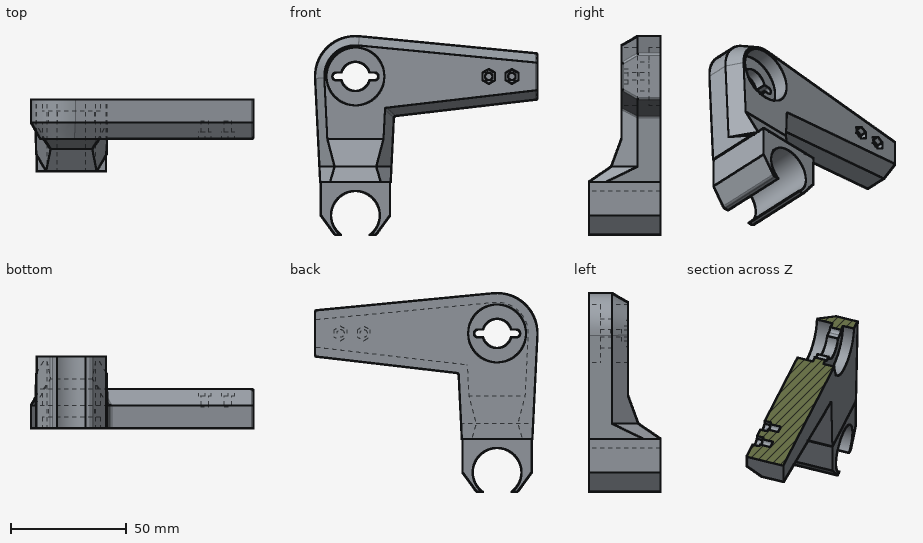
import cadquery as cq
import math

straight_depth = 10.0
draft_depth = 7.0
plate_depth = straight_depth + draft_depth
draft_angle = 30
draft_slope = math.tan(math.radians(draft_angle))
hub_radius = 17.5
arm_end_x = 78.6
arm_end_half_height = 10.0
elbow_z = -17.2
elbow_fillet = 1.0
tip_fillet = 1.0

front_recess_diameter = 25.0
front_recess_depth = 7.0
back_recess_diameter = 25.0
back_recess_depth = 5.0
shaft_hole_diameter = 12.5
slot_width = 3.3
slot_length = 19.8

nut_xs = (57.6, 67.6)
nut_flats = 5.5
nut_depth = 3.0
screw_diameter = 3.3
screw_depth = 7.7

clamp_width = 30.0
clamp_depth = 31.0
clamp_top_z = -45.5
clamp_bottom_z = -68.4
clamp_bore_z = -60.0
clamp_bore_diameter = 21.0
jaw_half_width = 8.8
jaw_fillet = 1.4

leg_foot_half_width = 15.3
ramp_top_z = -26.9
ramp_foot_z = -38.9
ramp_foot_depth = 21.4
gusset_shoulder_depth = 23.5

drafted_depth = ramp_foot_depth - straight_depth
drafted_inset = drafted_depth * draft_slope

trim_overrun = 19.2


def front_plane(depth):
    """Workplane facing the front, at the given depth in front of the back face."""
    return cq.Workplane("XZ", origin=(0, -depth, 0))


def hub_tangent(x, z, turn):
    """Where the line from (x, z) touches the hub; turn is +1 or -1 for the side."""
    angle = math.atan2(z, x) + turn * math.acos(hub_radius / math.hypot(x, z))
    return hub_radius * math.cos(angle), hub_radius * math.sin(angle)


leg_tangent = hub_tangent(-leg_foot_half_width, clamp_top_z, -1)
leg_slope = (-leg_tangent[0] - leg_foot_half_width) / (leg_tangent[1] - clamp_top_z)


def leg_half_width(z):
    """Half width of the tapered leg at height z."""
    return leg_foot_half_width + leg_slope * (z - clamp_top_z)


def point_beyond(start, end, overrun):
    """Point on the line from start through end, the given length past end."""
    length = math.hypot(end[0] - start[0], end[1] - start[1])
    scale = 1 + overrun / length
    return start[0] + scale * (end[0] - start[0]), start[1] + scale * (end[1] - start[1])


def oversize_outline():
    """Lever outline with the arm and the leg drawn longer than they end up."""
    arm_top = (arm_end_x, arm_end_half_height)
    arm_bottom = (arm_end_x, -arm_end_half_height)
    leg_left = (-leg_foot_half_width, clamp_top_z)
    leg_right = (leg_foot_half_width, clamp_top_z)
    elbow = (leg_half_width(elbow_z), elbow_z)
    top_tangent = hub_tangent(*arm_top, 1)
    arc_middle = (-hub_radius * math.sqrt(0.5), hub_radius * math.sqrt(0.5))
    return (
        front_plane(0).moveTo(*top_tangent)
        .threePointArc(arc_middle, leg_tangent)
        .lineTo(*point_beyond(leg_tangent, leg_left, trim_overrun))
        .lineTo(*point_beyond(elbow, leg_right, trim_overrun))
        .lineTo(*elbow)
        .lineTo(*point_beyond(elbow, arm_bottom, trim_overrun))
        .lineTo(*point_beyond(top_tangent, arm_top, trim_overrun))
        .close()
    )


def beveled_blank():
    """Straight-sided back layer with a drafted front layer on it."""
    outline = oversize_outline()
    base = outline.wires().val().translate(cq.Vector(0, -straight_depth, 0))
    front = base.offset2D(-drafted_inset, "intersection")[0]
    front = front.translate(cq.Vector(0, -drafted_depth, 0))
    drafted = cq.Solid.makeLoft([base, front], True)
    return outline.extrude(straight_depth).union(cq.Workplane(drafted))


def lever_envelope():
    """Space the lever fills: flat front, ramp on the leg, and trimmed arm and leg ends."""
    left_x = -2 * hub_radius
    top_z = 2 * hub_radius
    return (
        cq.Workplane("YZ", origin=(left_x, 0, 0))
        .moveTo(0, top_z)
        .lineTo(-plate_depth, top_z)
        .lineTo(-plate_depth, ramp_top_z)
        .lineTo(-ramp_foot_depth, ramp_foot_z)
        .lineTo(0, ramp_foot_z)
        .close()
        .extrude(arm_end_x - left_x)
    )


def gusset_section(z, half_width, shoulder_depth, front_depth):
    """Level section: straight sides to the shoulders, then drafted sides to the front."""
    front_half_width = half_width - (front_depth - shoulder_depth) * draft_slope
    return cq.Wire.makePolygon([
        cq.Vector(-half_width, 0, z),
        cq.Vector(-half_width, -shoulder_depth, z),
        cq.Vector(-front_half_width, -front_depth, z),
        cq.Vector(front_half_width, -front_depth, z),
        cq.Vector(half_width, -shoulder_depth, z),
        cq.Vector(half_width, 0, z),
    ], close=True)


def gusset():
    """Foot of the leg, which swells forward to the full depth of the clamp."""
    top = gusset_section(ramp_foot_z, leg_half_width(ramp_foot_z), straight_depth, ramp_foot_depth)
    foot = gusset_section(clamp_top_z, leg_foot_half_width, gusset_shoulder_depth, clamp_depth)
    return cq.Workplane(cq.Solid.makeLoft([top, foot], True))


def shaft_seat():
    """Slotted shaft hole with a round recess on the front and another on the back."""
    front_floor = plate_depth - front_recess_depth
    front_recess = front_plane(front_floor).circle(front_recess_diameter / 2).extrude(front_recess_depth)
    back_recess = front_plane(0).circle(back_recess_diameter / 2).extrude(back_recess_depth)
    shaft_hole = front_plane(0).circle(shaft_hole_diameter / 2).extrude(plate_depth)
    slot = front_plane(0).slot2D(slot_length, slot_width).extrude(plate_depth)
    return front_recess.union(back_recess).union(shaft_hole).union(slot)


def nut_pocket(x):
    """Hexagonal pocket with a blind screw hole in its floor, at distance x along the arm."""
    nut_corners = nut_flats / math.cos(math.radians(30))
    nut = (
        front_plane(plate_depth - nut_depth).center(x, 0)
        .transformed(rotate=(0, 0, 90)).polygon(6, nut_corners).extrude(nut_depth)
    )
    screw = (
        front_plane(plate_depth - screw_depth).center(x, 0)
        .circle(screw_diameter / 2).extrude(screw_depth)
    )
    return nut.union(screw)


def make_lever():
    """L-shaped lever with a hub, a tapering arm and a leg that carries the clamp."""
    blank = beveled_blank()
    elbow_x = leg_half_width(elbow_z)
    margin = 1
    elbow_edges = cq.selectors.BoxSelector(
        (elbow_x - drafted_inset - margin, -ramp_foot_depth, elbow_z - margin),
        (elbow_x + margin, 0, elbow_z + drafted_inset + margin),
    )
    blank = blank.edges(elbow_edges).fillet(elbow_fillet)
    lever = blank.intersect(lever_envelope())
    lever = lever.faces(">X").edges("not >Y").fillet(tip_fillet)
    lever = lever.union(gusset()).cut(shaft_seat())
    for x in nut_xs:
        lever = lever.cut(nut_pocket(x))
    return lever


def make_clamp():
    """Open snap-on clamp for a round bar along Y."""
    half_width = clamp_width / 2
    clamp = (
        front_plane(0)
        .moveTo(-half_width, clamp_top_z)
        .lineTo(half_width, clamp_top_z)
        .lineTo(half_width, clamp_bore_z)
        .lineTo(jaw_half_width, clamp_bottom_z)
        .lineTo(-jaw_half_width, clamp_bottom_z)
        .lineTo(-half_width, clamp_bore_z)
        .close()
        .extrude(clamp_depth)
        .faces("<Z").edges("|Y").fillet(jaw_fillet)
    )
    bore = front_plane(0).center(0, clamp_bore_z).circle(clamp_bore_diameter / 2).extrude(clamp_depth)
    return clamp.cut(bore)


lever = make_lever()
clamp = make_clamp()
result = cq.Compound.makeCompound([lever.val(), clamp.val()])